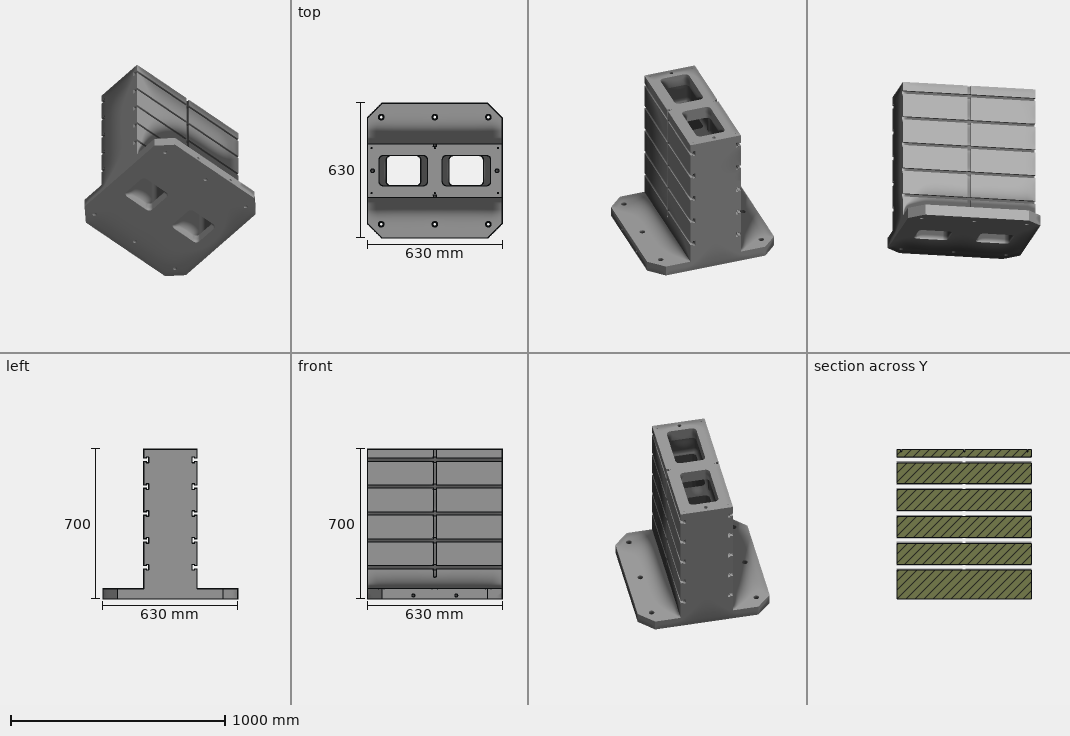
import cadquery as cq
import math

side = 630.0
total_height = 700.0
base_thickness = 50.0
corner_chamfer = 68.5

column_depth = 250.0
face_y = column_depth / 2

slot_width = 15.0
slot_count = 5
slot_pitch = 125.0
top_slot_drop = 50.0
neck_depth = 12.5
head_width = 25.0
slot_depth = 24.0
upright_slot_width = 15.0
upright_slot_depth = neck_depth
upright_slot_foot = 102.0

window_inner_x = 34.0
window_outer_x = 260.5
window_width_y = 141.5
window_radius = 20.0

top_plate = 60.0
chamber_wall = 38.5
chamber_height = 101.5
chamber_radius = 20.0
rib_thickness = 20.0
rib_radius = 10.5
chamber_roof = total_height - top_plate
chamber_floor = chamber_roof - chamber_height
chamber_half_x = side / 2 - chamber_wall
chamber_half_y = face_y - chamber_wall

opening_x = 146.0
opening_length_x = 160.0
opening_width_y = 140.0
opening_radius = 20.0

bolt_pitch = 250.0
bolt_diameter = 18.0
bolt_counterbore = 26.0
counterbore_depth = 25.0
lift_x = 290.5
lift_diameter = 17.5
lift_depth = 35.0
pin_x = 295.0
pin_y = 105.0
pin_diameter = 5.0
pin_depth = 10.5
side_hole_x = 100.0
side_hole_z = 17.5
side_hole_diameter = 14.0
side_hole_depth = 28.0
drill_point_angle = 118.0


def block(x_min, x_max, width_y, z_min, z_max):
    """Box spanning x_min..x_max and z_min..z_max, centred on Y = 0."""
    size_x = x_max - x_min
    centre_x = (x_min + x_max) / 2
    box = cq.Workplane("XY").box(size_x, width_y, z_max - z_min, centered=(True, True, False))
    return box.translate((centre_x, 0, z_min))


def drilled_hole(diameter, depth):
    """Blind hole along -Z from the origin, ending in a drill point."""
    radius = diameter / 2
    tip = radius / math.tan(math.radians(drill_point_angle / 2))
    profile = [(0, 0), (radius, 0), (radius, -depth), (0, -depth - tip)]
    return cq.Workplane("XZ").polyline(profile).close().revolve(360, (0, 0, 0), (0, 1, 0))


def body():
    base = cq.Workplane("XY").rect(side, side).extrude(base_thickness)
    base = base.edges("|Z").chamfer(corner_chamfer)
    return base.union(block(-side / 2, side / 2, column_depth, 0, total_height))


def t_slot(z):
    """T-slot in the -Y face, running the full length along X."""
    neck = cq.Workplane("XY").box(side, neck_depth, slot_width)
    neck = neck.translate((0, -face_y + neck_depth / 2, z))
    head_depth = slot_depth - neck_depth
    head = cq.Workplane("XY").box(side, head_depth, head_width)
    return neck.union(head.translate((0, -face_y + neck_depth + head_depth / 2, z)))


def upright_slot():
    """Slot in the -Y face, open at the top and round at its foot."""
    radius = upright_slot_width / 2
    arc_z = upright_slot_foot + radius
    return (
        cq.Workplane("XZ", origin=(0, -face_y, 0))
        .moveTo(-radius, total_height)
        .lineTo(-radius, arc_z)
        .threePointArc((0, upright_slot_foot), (radius, arc_z))
        .lineTo(radius, total_height)
        .close()
        .extrude(-upright_slot_depth)
    )


def face_slots():
    slots = upright_slot()
    for i in range(slot_count):
        slots = slots.union(t_slot(total_height - top_slot_drop - i * slot_pitch))
    return slots.union(slots.mirror("XZ"))


def right_shaft():
    """Window running down to the base on the +X side, and the smaller opening below it."""
    window = block(window_inner_x, window_outer_x, window_width_y, base_thickness, total_height)
    window = window.edges("|Z").fillet(window_radius)
    opening_min_x = opening_x - opening_length_x / 2
    opening_max_x = opening_x + opening_length_x / 2
    opening = block(opening_min_x, opening_max_x, opening_width_y, 0, base_thickness)
    return window.union(opening.edges("|Z").fillet(opening_radius))


def rib():
    """Rib on the +Y wall of the chamber, blending into the wall on both sides."""
    half = rib_thickness / 2
    foot = half + rib_radius
    crest_y = chamber_half_y - rib_radius
    bulge = rib_radius * math.sqrt(0.5)
    arc_x = foot - bulge
    arc_y = crest_y + bulge
    return (
        cq.Workplane("XY", origin=(0, 0, chamber_floor))
        .moveTo(-foot, chamber_half_y)
        .threePointArc((-arc_x, arc_y), (-half, crest_y))
        .lineTo(half, crest_y)
        .threePointArc((arc_x, arc_y), (foot, chamber_half_y))
        .close()
        .extrude(chamber_height)
    )


def chamber():
    space = block(-chamber_half_x, chamber_half_x, 2 * chamber_half_y, chamber_floor, chamber_roof)
    space = space.edges("|Z or <Z").fillet(chamber_radius)
    return space.cut(rib()).cut(rib().mirror("XZ"))


def cavities():
    right = right_shaft()
    return chamber().union(right).union(right.mirror("YZ"))


def holes():
    bolt_points = [(x, y) for x in (-bolt_pitch, 0, bolt_pitch) for y in (-bolt_pitch, bolt_pitch)]
    pin_points = [(x, y, total_height) for x in (-pin_x, 0, pin_x) for y in (-pin_y, pin_y)]
    through = cq.Workplane("XY").pushPoints(bolt_points).circle(bolt_diameter / 2).extrude(base_thickness)
    counterbores = (
        cq.Workplane("XY", origin=(0, 0, base_thickness))
        .pushPoints(bolt_points)
        .circle(bolt_counterbore / 2)
        .extrude(-counterbore_depth)
    )
    cutters = through.union(counterbores)
    for point in pin_points:
        cutters = cutters.union(drilled_hole(pin_diameter, pin_depth).translate(point))
    for x in (-lift_x, lift_x):
        cutters = cutters.union(drilled_hole(lift_diameter, lift_depth).translate((x, 0, total_height)))
    side_hole = drilled_hole(side_hole_diameter, side_hole_depth).rotate((0, 0, 0), (1, 0, 0), 90)
    for x in (-side_hole_x, side_hole_x):
        cutters = cutters.union(side_hole.translate((x, -side / 2, side_hole_z)))
    return cutters


result = body().cut(face_slots()).cut(cavities()).cut(holes())